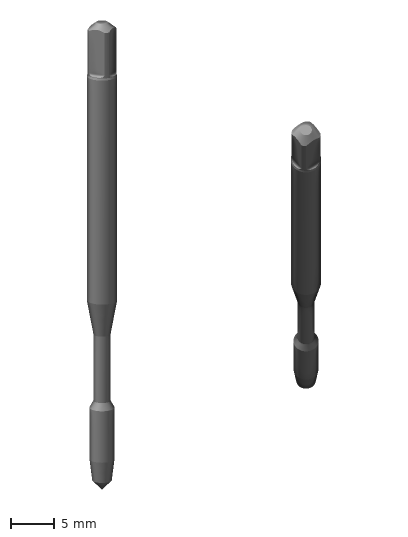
import cadquery as cq

total_length = 56.8
chamfer_start = 1.2
thread_start = 3.75
thread_end = 10.0
neck_start = 10.85
neck_end = 18.9
shank_start = 23.05
shank_end = 50.3
drive_start = 50.5
drive_cone_height = 0.8

tip_diameter = 2.3
thread_diameter = 2.9
neck_diameter = 2.0
shank_diameter = 3.5
drive_diameter = 3.35
drive_top_diameter = 1.35

square_width = 2.7
flat_start = 50.55
flat_runout_radius = 0.35
flat_count = 4


def revolve_profile(points):
    """Turn a closed (radius, height) outline about the Z axis."""
    return cq.Workplane("XZ").polyline(points).close().revolve(360, (0, 0), (0, 1))


def make_flat_cutter():
    """Block outside one flat of the square, rounded where the flat runs out."""
    depth = shank_diameter
    height = total_length - flat_start + drive_cone_height
    cutter = cq.Workplane("XY").box(depth, 2 * shank_diameter, height, centered=(False, True, False))
    cutter = cutter.edges("<X and <Z").fillet(flat_runout_radius)
    return cutter.translate((square_width / 2, 0, flat_start))


def make_cutting_head():
    """Pointed thread section with a tapered lead."""
    return revolve_profile([
        (0, 0),
        (tip_diameter / 2, chamfer_start),
        (thread_diameter / 2, thread_start),
        (thread_diameter / 2, thread_end),
        (0, thread_end),
    ])


def make_shank():
    """Neck and shank, ending in the driving square."""
    shank = revolve_profile([
        (0, thread_end),
        (thread_diameter / 2, thread_end),
        (neck_diameter / 2, neck_start),
        (neck_diameter / 2, neck_end),
        (shank_diameter / 2, shank_start),
        (shank_diameter / 2, shank_end),
        (drive_diameter / 2, drive_start),
        (drive_diameter / 2, total_length - drive_cone_height),
        (drive_top_diameter / 2, total_length),
        (0, total_length),
    ])
    cutter = make_flat_cutter()
    for index in range(flat_count):
        angle = index * 360 / flat_count
        shank = shank.cut(cutter.rotate((0, 0, 0), (0, 0, 1), angle))
    return shank


cutting_head = make_cutting_head()
shank = make_shank()
result = cq.Compound.makeCompound([cutting_head.val(), *shank.vals()])